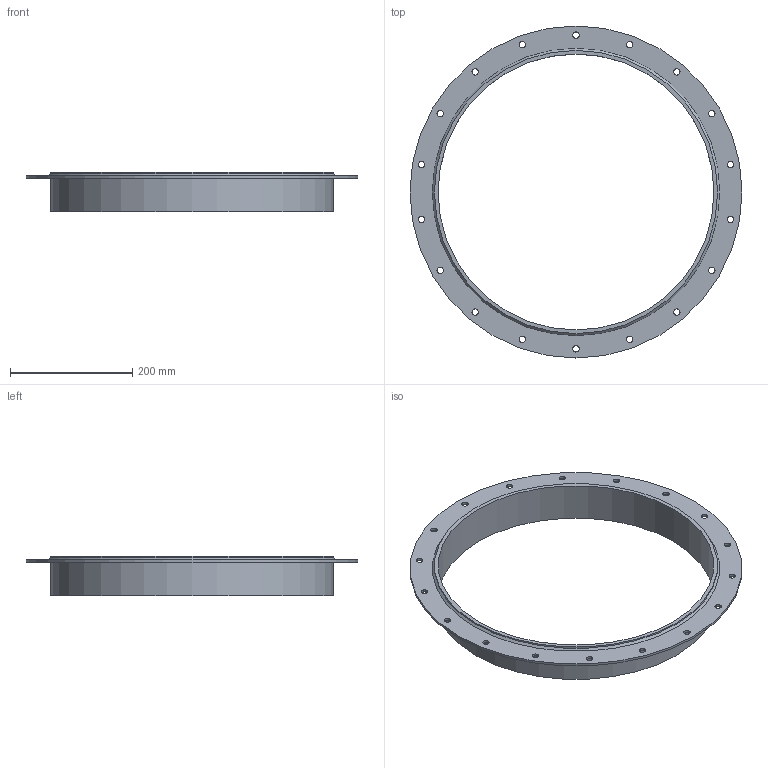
import cadquery as cq

sleeve_outer_diameter = 464.0
sleeve_inner_diameter = 452.0
sleeve_height = 65.0

flange_diameter = 544.0
flange_thickness = 4.0
sleeve_above_flange = 6.0
flange_top = sleeve_height - sleeve_above_flange
flange_bottom = flange_top - flange_thickness

weld_leg = 3.5

bolt_hole_count = 18
bolt_hole_diameter = 10.5
bolt_circle_diameter = 514.0
first_bolt_hole_angle = 90.0


def make_ring_body():
    """Revolve the cross-section of sleeve, flange and weld bead about Z."""
    bore_radius = sleeve_inner_diameter / 2
    sleeve_radius = sleeve_outer_diameter / 2
    flange_radius = flange_diameter / 2
    profile = [
        (bore_radius, 0),
        (sleeve_radius, 0),
        (sleeve_radius, flange_bottom),
        (flange_radius, flange_bottom),
        (flange_radius, flange_top),
        (sleeve_radius + weld_leg, flange_top),
        (sleeve_radius, flange_top + weld_leg),
        (sleeve_radius, sleeve_height),
        (bore_radius, sleeve_height),
    ]
    axis_start = (0, 0)
    axis_end = (0, 1)
    return cq.Workplane("XZ").polyline(profile).close().revolve(360, axis_start, axis_end)


def make_bolt_holes():
    """Cylinders that pass through the flange at each bolt position."""
    return (
        cq.Workplane("XY")
        .workplane(offset=flange_bottom)
        .polarArray(bolt_circle_diameter / 2, first_bolt_hole_angle, 360, bolt_hole_count)
        .circle(bolt_hole_diameter / 2)
        .extrude(flange_thickness)
    )


result = make_ring_body().cut(make_bolt_holes())